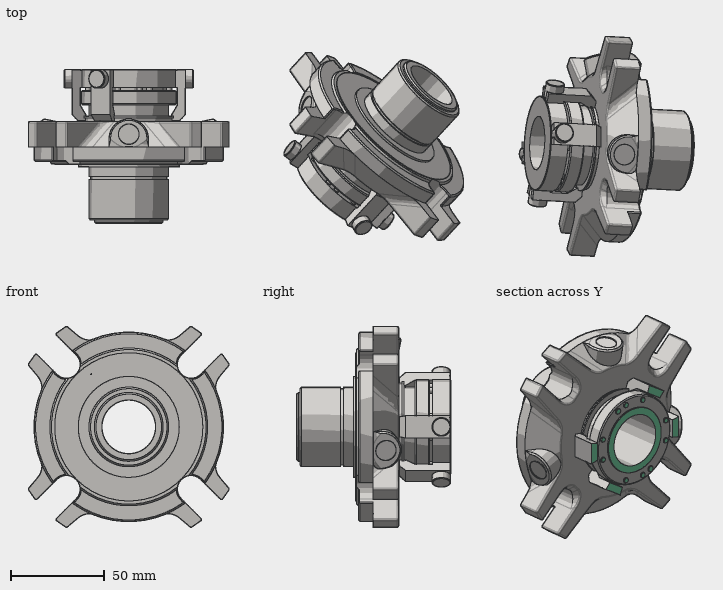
import cadquery as cq
import math


ring_top = 41.5
ring_base = 31.7
collar_top = 30.2
collar_base = 22.5
washer_top = 16.5
washer_base = 15.5
lug_back = 13.7
rim_front = -7.8
step_front = -8.9
face_front = -9.3
boss_front = -10.5
groove_start = -15.8
groove_end = -17.3
sleeve_end = -39.0
nose_end = -40.8

bore_dia = 28.5
nose_dia = 36.8
core_dia = 36.8
groove_dia = 40.8
sleeve_dia = 42.6
neck_dia = 47.0
washer_dia = 48.5
ring_dia = 50.6
boss_dia = 54.0
face_dia = 79.2
step_dia = 82.6
flange_dia = 101.2
lug_body_back_dia = 74.2

collar_chamfer = 0.6
ring_chamfer = 0.4
edge_chamfer = 0.9
rim_chamfer_length = 0.9

slot_angles = (45, 135, 225, 315)
slot_radius = 7.3
slot_centre = 47.1
slot_edge_chamfer = 0.6
lug_tip_radius = 63.3
lug_tip_offset = 14.6
lug_flare_angle = 5.0
lug_root_reach = 32.2
lug_tip_fillet = 0.9
lug_root_fillet = 5.4
lug_back_fillet = 1.0

port_angles = (90, 195, 345)
port_tilt = 11.5
port_face_radius = 49.0
port_hole_level = 7.0
port_hole_dia = 11.0
port_hole_depth = 0.6
port_pad_radius = 10.5
port_pad_drop = 2.1
port_pad_length = 19.3
port_pad_chamfer = 0.9
port_rim_inset = 0.1

clip_angles = (0, 120, 180, 300)
clip_width = 11.9
clip_top = 41.1
clip_outer = 30.2
clip_inner = 25.8
clip_bend_level = 17.4
clip_base = 14.0
clip_foot_outer = 27.1
clip_foot_inner = 23.0
clip_slope_top = 22.3
clip_seat = 24.1
screw_dia = 10.0
screw_level = 36.5
screw_tip = 34.5
screw_chamfer = 0.4

pin_circle_radius = 22.4
drive_pin_angles = (15, 75, 105, 165, 195, 255, 285, 345)
drive_pin_dia = 2.9
lock_pin_angles = (60, 240)
lock_pin_dia = 3.2
pin_overlap = 0.5


def turned(points):
    """Revolve a (radius, Y) outline about the Y axis."""
    return cq.Workplane("XY").polyline(points).close().revolve(360, (0, 0, 0), (0, 1, 0))


def disc(diameter, start, end):
    """Cylinder on the Y axis between two levels."""
    return cq.Workplane("XZ", origin=(0, start, 0)).circle(diameter / 2).extrude(start - end)


def at_angle(solid, angle):
    """Turn a solid from the +X direction towards +Z."""
    return solid.rotate((0, 0, 0), (0, 1, 0), -angle)


def lug_profile(side):
    """Plan of one lug beside a slot lying along +X; side is +1 or -1."""
    tip_inner_x = math.sqrt(lug_tip_radius**2 - slot_radius**2)
    tip_outer_x = math.sqrt(lug_tip_radius**2 - lug_tip_offset**2)
    flare = (tip_outer_x - lug_root_reach) * math.tan(math.radians(lug_flare_angle))
    return [
        (lug_root_reach, side * slot_radius),
        (tip_inner_x, side * slot_radius),
        (tip_outer_x, side * lug_tip_offset),
        (lug_root_reach, side * (lug_tip_offset + flare)),
    ]


def make_lugs():
    """Pairs of lugs with rounded tip corners, one on each side of every slot."""
    lugs = None
    for angle in slot_angles:
        for side in (1, -1):
            lug = cq.Workplane("XZ").polyline(lug_profile(side)).close().extrude(-lug_back)
            corners = [
                edge for edge in lug.edges("|Y").vals()
                if math.hypot(edge.Center().x, edge.Center().z) > lug_tip_radius - 0.1
            ]
            lug = lug.newObject(corners).fillet(lug_tip_fillet)
            lug = at_angle(lug, angle)
            lugs = lug if lugs is None else lugs.union(lug)
    return lugs


def make_slots():
    """Round-ended slots that open outwards between the lugs."""
    slots = None
    depth = lug_back - boss_front
    for angle in slot_angles:
        plane = cq.Workplane("XZ", origin=(0, boss_front, 0))
        round_end = plane.center(slot_centre, 0).circle(slot_radius).extrude(-depth)
        mouth = plane.center(slot_centre + lug_tip_radius / 2, 0).rect(lug_tip_radius, 2 * slot_radius)
        slot = at_angle(round_end.union(mouth.extrude(-depth)), angle)
        slots = slot if slots is None else slots.union(slot)
    return slots


def make_lug_body():
    """Cone with lugs, rounded where they meet and along the back edges."""
    cone = turned([
        (0, 0),
        (flange_dia / 2, 0),
        (lug_body_back_dia / 2, lug_back),
        (0, lug_back),
    ])
    body = cone.union(make_lugs())
    tilted = [
        e for e in body.edges().vals()
        if e.BoundingBox().ylen > lug_back - 0.1 and e.geomType() != "LINE"
    ]
    body = body.newObject(tilted).fillet(lug_root_fillet)
    body = body.cut(make_slots())
    return body.faces(">Y").edges().fillet(lug_back_fillet)


def make_flange_and_sleeve():
    """Front disc with its stepped face, gland boss, grooved sleeve and nose."""
    flange = turned([
        (0, 0),
        (flange_dia / 2, 0),
        (flange_dia / 2, rim_front + rim_chamfer_length),
        (flange_dia / 2 - edge_chamfer, rim_front),
        (step_dia / 2 + edge_chamfer, rim_front),
        (step_dia / 2, step_front),
        (face_dia / 2, step_front),
        (face_dia / 2, face_front),
        (0, face_front),
    ])
    flange = flange.cut(make_slots())
    mouth_edges = [
        edge for edge in flange.edges("|Y").vals()
        if math.hypot(edge.Center().x, edge.Center().z) > flange_dia / 2 - 0.1
    ]
    flange = flange.newObject(mouth_edges).chamfer(slot_edge_chamfer)
    slot_rims = [
        edge for edge in flange.edges("%CIRCLE").vals()
        if abs(edge.radius() - slot_radius) < 0.01 and abs(edge.Center().y - rim_front) < 0.01
    ]
    flange = flange.newObject(slot_rims).chamfer(slot_edge_chamfer)
    sleeve = turned([
        (0, 0),
        (boss_dia / 2, 0),
        (boss_dia / 2, boss_front),
        (sleeve_dia / 2, boss_front),
        (sleeve_dia / 2, groove_start),
        (groove_dia / 2, groove_start),
        (groove_dia / 2, groove_end),
        (sleeve_dia / 2, groove_end),
        (sleeve_dia / 2, sleeve_end + edge_chamfer),
        (sleeve_dia / 2 - edge_chamfer, sleeve_end),
        (nose_dia / 2, sleeve_end),
        (nose_dia / 2, nose_end + edge_chamfer),
        (nose_dia / 2 - edge_chamfer, nose_end),
        (0, nose_end),
    ])
    return flange.union(sleeve)


def make_back_stack():
    """Neck, snap washer, collar and clip ring behind the lug body."""
    stack = disc(neck_dia, 0, washer_base)
    stack = stack.union(disc(washer_dia, washer_base, washer_top))
    stack = stack.union(disc(sleeve_dia, washer_top, collar_base))
    collar = disc(ring_dia, collar_base, collar_top).edges().chamfer(collar_chamfer)
    stack = stack.union(collar)
    stack = stack.union(disc(core_dia, collar_top, ring_base))
    ring = disc(ring_dia, ring_base, ring_top).faces(">Y").edges().chamfer(ring_chamfer)
    return stack.union(ring)


def make_port(angle):
    """Leaning round pad with a shallow hole in its flat face, built towards +X."""
    lean = math.radians(port_tilt)
    outward = (math.cos(lean), math.sin(lean), 0)
    across = (-math.sin(lean), math.cos(lean), 0)
    hole_plane = cq.Plane((port_face_radius, port_hole_level, 0), across, outward)
    face = cq.Workplane(hole_plane)
    pad = face.center(-port_pad_drop, 0).circle(port_pad_radius).extrude(-port_pad_length)
    skirt = face.center(-port_pad_drop - port_pad_radius, 0).rect(2 * port_pad_radius, 2 * port_pad_radius)
    pad = pad.union(skirt.extrude(-port_pad_length))
    pad = pad.faces(">X").edges().chamfer(port_pad_chamfer)
    pad = pad.cut(face.circle(port_hole_dia / 2).extrude(-port_hole_depth))
    pad = pad.intersect(disc(flange_dia - 2 * port_rim_inset, 0, washer_top))
    return at_angle(pad, angle)


def make_clip(angle):
    """Hooked clip with radial sides and a cap screw, built towards +X."""
    outline = [
        (clip_seat, clip_top),
        (clip_outer, clip_top),
        (clip_outer, clip_bend_level),
        (clip_foot_outer, clip_base),
        (clip_foot_inner, clip_base),
        (clip_foot_inner, clip_bend_level),
        (clip_inner, clip_slope_top),
        (clip_inner, ring_base),
        (clip_seat, ring_base),
    ]
    clip = cq.Workplane("XY").polyline(outline).close().extrude(clip_width / 2, both=True)
    sector = [(0, 0), (clip_outer, clip_width / 2), (clip_outer, -clip_width / 2)]
    clip = clip.intersect(cq.Workplane("XZ").polyline(sector).close().extrude(-ring_top))
    screw = cq.Workplane("YZ", origin=(clip_inner, screw_level, 0)).circle(screw_dia / 2)
    screw = screw.extrude(screw_tip - clip_inner).faces(">X").edges().chamfer(screw_chamfer)
    return at_angle(clip.union(screw), angle)


def make_pin(diameter, angle):
    """Short pin across the gap between the collar and the clip ring."""
    plane = cq.Workplane("XZ", origin=(0, collar_top - pin_overlap, 0))
    length = ring_base - collar_top + 2 * pin_overlap
    return at_angle(plane.center(pin_circle_radius, 0).circle(diameter / 2).extrude(-length), angle)


result = make_lug_body().union(make_flange_and_sleeve()).union(make_back_stack())
for port_angle in port_angles:
    result = result.union(make_port(port_angle))
for clip_angle in clip_angles:
    result = result.union(make_clip(clip_angle))
for pin_angle in drive_pin_angles:
    result = result.union(make_pin(drive_pin_dia, pin_angle))
for pin_angle in lock_pin_angles:
    result = result.union(make_pin(lock_pin_dia, pin_angle))
result = result.cut(disc(bore_dia, nose_end, ring_top))